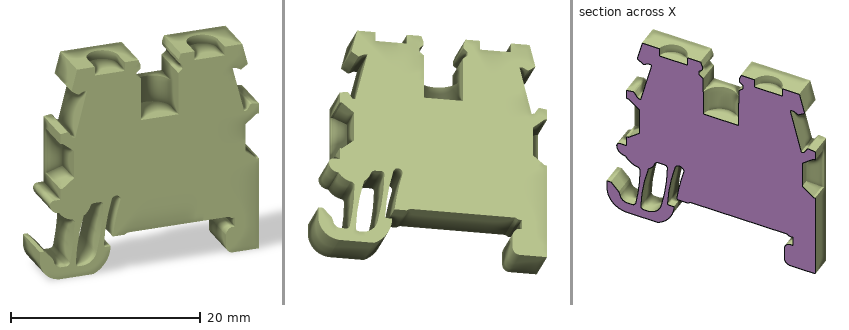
import cadquery as cq
import math


thickness = 5.05
height = 24.0
half_width = 11.24
latch_tip_y = -13.56

slot_half_width = 2.1
slot_floor_z = 20.0
slot_lip_z = 21.8
head_outer_y = 9.35
shoulder_z = 16.8

seat_z = 4.2
seat_land_z = 4.0
foot_inner_y = 7.5
foot_undercut_y = 8.5
foot_hook_z = 2.95
foot_radius = 0.8

screw_y = 5.65
screw_radius = 1.7
screw_depth = 1.0
bridge_depth = 3.0
pocket_center_x = 2.9
entry_wall = 0.55
entry_bottom_z = 10.45
entry_top_z = 15.65
entry_depth = 1.55
entry_rim_depth = 0.25
entry_inset = 1.03

upper_half = [
    (slot_half_width, slot_floor_z),
    (slot_half_width, slot_lip_z),
    (2.6, 22.2),
    (2.6, 22.6),
    (2.15, 23.0),
    (2.15, 23.35),
    (2.4, height),
    (head_outer_y, height),
    (9.98, 21.57),
    (9.2, 21.06),
    (8.6, 21.35),
    (8.25, 21.35),
    (9.57, 16.15),
    (9.9, 16.25),
    (10.26, 16.83),
    (10.4, 16.92),
    (half_width, shoulder_z),
]


def side_profile():
    """Closed outline in the YZ plane, including the foot and the latch."""
    upper_left = list(reversed(upper_half))
    upper_right = [(-y, z) for y, z in upper_half]
    outline = cq.Workplane("YZ").moveTo(half_width, 0)
    for point in upper_left + upper_right:
        outline = outline.lineTo(*point)

    outline = (
        outline.lineTo(-half_width, 9.22)
        .lineTo(-11.95, 9.22)
        .threePointArc((-12.28, 9.07), (-12.42, 8.73))
        .threePointArc((-12.11, 7.99), (-11.37, 7.68))
        .threePointArc((-10.8, 7.08), (-10.05, 6.74))
        .threePointArc((-9.76, 6.62), (-9.65, 6.22))
    )
    outline = (
        outline.threePointArc((-9.8, 3.9), (-10.13, 1.8))
        .threePointArc((-10.28, 1.48), (-10.55, 1.37))
        .lineTo(-11.15, 1.37)
        .threePointArc((-11.68, 1.58), (-11.95, 2.1))
        .lineTo(-12.1, 2.5)
        .lineTo(-13.05, 3.5)
        .lineTo(latch_tip_y, 3.5)
        .lineTo(latch_tip_y, 2.56)
        .threePointArc((-12.94, 0.8), (-11.3, 0))
        .lineTo(-7.5, 0)
        .threePointArc((-6.12, 1.15), (-5.55, 2.93))
    )
    outline = (
        outline.lineTo(-6.15, 2.93)
        .threePointArc((-6.27, 2.98), (-6.32, 3.1))
        .threePointArc((-6.05, 5.6), (-5.45, 8.25))
        .threePointArc((-4.9, 8.69), (-4.42, 8.2))
        .threePointArc((-4.95, 6.1), (-5.3, seat_land_z))
    )
    corner_inset = foot_radius * (1 - math.sqrt(0.5))
    return (
        outline.lineTo(-4.0, seat_land_z)
        .lineTo(-3.6, seat_z)
        .lineTo(7.8, seat_z)
        .lineTo(8.15, seat_land_z)
        .lineTo(foot_undercut_y, seat_land_z)
        .lineTo(foot_undercut_y, foot_hook_z)
        .lineTo(8.1, foot_hook_z)
        .threePointArc((7.7, 2.65), (foot_inner_y, 2.15))
        .lineTo(foot_inner_y, foot_radius)
        .threePointArc((foot_inner_y + corner_inset, corner_inset), (foot_inner_y + foot_radius, 0))
        .close()
    )


def latch_window():
    """Through opening that leaves two thin spring arms in the latch."""
    return (
        cq.Workplane("YZ")
        .moveTo(-6.75, 8.22)
        .lineTo(-7.4, 8.22)
        .threePointArc((-7.68, 8.14), (-7.85, 7.95))
        .threePointArc((-8.18, 7.32), (-8.6, 6.95))
        .threePointArc((-9.2, 4.4), (-9.5, 1.5))
        .threePointArc((-9.4, 1.26), (-9.15, 1.17))
        .lineTo(-8.8, 1.17)
        .threePointArc((-7.71, 1.56), (-7.12, 2.55))
        .threePointArc((-6.62, 5.1), (-6.4, 7.9))
        .threePointArc((-6.5, 8.13), (-6.75, 8.22))
        .close()
        .extrude(thickness)
    )


def rounded_pocket(center_y, top_z, radius, depth):
    """Vertical pocket with a round end, running out through the +X side."""
    return (
        cq.Workplane("XY", origin=(0, center_y, top_z))
        .moveTo(thickness, -radius)
        .lineTo(pocket_center_x, -radius)
        .threePointArc((pocket_center_x - radius, 0), (pocket_center_x, radius))
        .lineTo(thickness, radius)
        .close()
        .extrude(-depth)
    )


def wire_entry():
    """Straight-rimmed funnel in the -Y wall, three sloped sides, open towards +X."""
    mouth_height = entry_top_z - entry_bottom_z
    mouth_half_length = thickness - entry_wall
    center_z = (entry_top_z + entry_bottom_z) / 2
    rim = (
        cq.Workplane("XZ", origin=(thickness, -half_width, center_z))
        .rect(2 * mouth_half_length, mouth_height)
        .extrude(-entry_rim_depth)
    )
    funnel = (
        cq.Workplane("XZ", origin=(thickness, entry_rim_depth - half_width, center_z))
        .rect(2 * mouth_half_length, mouth_height)
        .workplane(offset=entry_rim_depth - entry_depth)
        .rect(2 * (mouth_half_length - entry_inset), mouth_height - 2 * entry_inset)
        .loft(ruled=True)
    )
    return rim.union(funnel)


result = side_profile().extrude(thickness).cut(latch_window())
for side in (-1, 1):
    result = result.cut(rounded_pocket(side * screw_y, height, screw_radius, screw_depth))
result = result.cut(rounded_pocket(0, slot_floor_z, slot_half_width, bridge_depth))

entry = wire_entry()
result = result.cut(entry).cut(entry.mirror("XZ"))